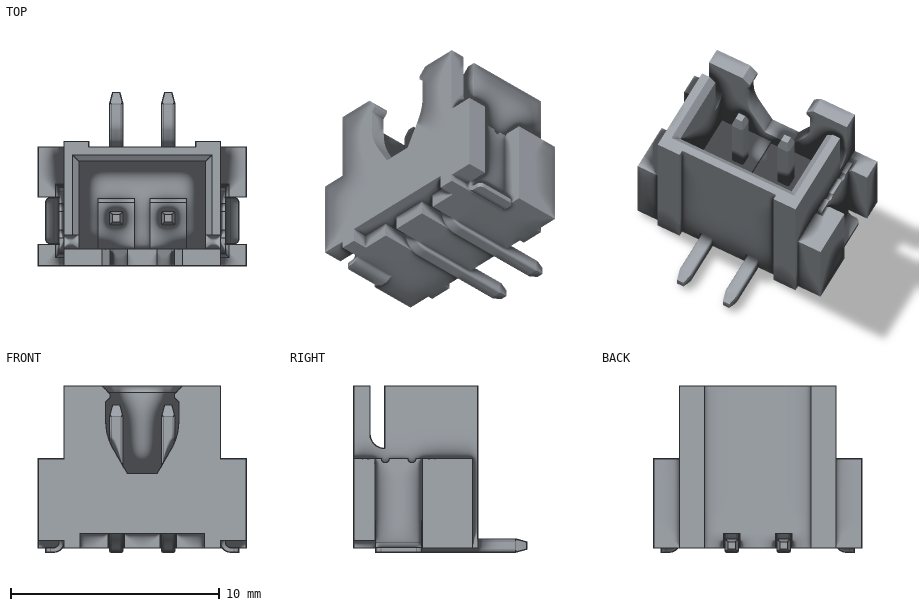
import cadquery as cq
import math


top_z = 8.0
standoff = 0.2

shell_half_width = 3.77
shell_back_y = 5.72
front_wall = 0.8
cavity_half_width = 3.05
cavity_back_y = 5.03
cavity_floor_z = 3.0
cavity_lead_in = 0.31
rear_rib_depth = 0.26
rear_rib_width = 1.2

shoulder_half_width = 5.0
shoulder_top_z = 4.5
corner_relief_top_z = 0.56

slit_width = 0.69
slit_bottom_z = 5.0

window_half_width = 1.76
window_lip_half_width = 1.55
window_mouth_half_width = 1.93
window_lip_height = 0.18
window_floor_z = 3.8
window_floor_half_width = 0.72
window_slope = math.radians(30)
window_arc_radius = 2.6

pad_width = 1.75
pad_back_y = 3.25
pad_height = 0.2

underside_half_width = 3.0
underside_top_z = 0.9
pin_slot_width = 0.75

pin_pitch = 2.5
pin_count = 2
pin_size = 0.65
pin_edge_radius = 0.1
pin_y = 2.29
pin_top_z = 7.08
pin_tail_y = 8.34
pin_taper = 0.56
pin_tip_size = 0.35
pin_bend_inner_radius = 0.3

tab_thickness = 0.23
tab_width = 3.2
tab_neck_width = 2.22
tab_neck_top_z = 1.5
tab_y = 2.17
tab_corner_radius = 0.2
tab_notch_radius = 0.19
tab_notch_spacing = 1.28
tab_foot_reach = 4.65
tab_bend_inner_radius = 0.25
tab_foot_corner_radius = 0.25
tab_side_gap = 0.03
tab_lead_in = 0.16
tab_lead_in_depth = 0.2

tab_face_x = shell_half_width + tab_thickness
pin_xs = [(i - (pin_count - 1) / 2) * pin_pitch for i in range(pin_count)]


def block(x_range, y_range, z_range):
    """Axis-aligned box between the given limits."""
    size = [high - low for low, high in (x_range, y_range, z_range)]
    corner = (x_range[0], y_range[0], z_range[0])
    return cq.Workplane("XY").box(*size, centered=False).translate(corner)


def both_sides(shape):
    """The shape together with its mirror image across X = 0."""
    return shape.union(shape.mirror("YZ"))


def tapered_bar(length):
    """Square bar along +Z from the origin with rounded edges and a tapered tip."""
    straight = length - pin_taper
    bar = (
        cq.Workplane("XY").rect(pin_size, pin_size).extrude(straight)
        .union(
            cq.Workplane("XY").workplane(offset=straight).rect(pin_size, pin_size)
            .workplane(offset=pin_taper).rect(pin_tip_size, pin_tip_size).loft()
        )
    )
    rounded_bar = (
        cq.Workplane("XY").rect(pin_size, pin_size).extrude(length)
        .edges("|Z").fillet(pin_edge_radius)
    )
    return bar.intersect(rounded_bar)


def make_pin(x):
    """L-shaped pin: upright contact leg, round bend and horizontal solder tail."""
    bend_radius = pin_bend_inner_radius + pin_size / 2
    tail_z = pin_size / 2
    bend_y = pin_y + bend_radius
    bend_z = tail_z + bend_radius
    upright = tapered_bar(pin_top_z - bend_z).translate((0, pin_y, bend_z))
    tail = (
        tapered_bar(pin_tail_y - bend_y)
        .rotate((0, 0, 0), (1, 0, 0), -90)
        .translate((0, bend_y, tail_z))
    )
    bend = (
        cq.Workplane("XY", origin=(0, pin_y, bend_z))
        .rect(pin_size, pin_size).extrude(-1).edges("|Z").fillet(pin_edge_radius)
        .faces(">Z").wires().toPending().workplane()
        .revolve(90, (-1, bend_radius, 0), (1, bend_radius, 0), combine=False)
    )
    return upright.union(bend).union(tail).translate((x, 0, 0))


def shell_and_shoulders():
    shell_x = (-shell_half_width, shell_half_width)
    shoulder_x = (-shoulder_half_width, shoulder_half_width)
    depth = (0, shell_back_y)
    body = block(shell_x, depth, (standoff, top_z))
    body = body.union(block(shoulder_x, depth, (standoff, shoulder_top_z)))
    rib_x = (shell_half_width - rear_rib_width, shell_half_width)
    rib = block(rib_x, (shell_back_y, shell_back_y + rear_rib_depth), (standoff, top_z))
    relief = block(
        (shell_half_width, shoulder_half_width),
        (0, tab_y - tab_neck_width / 2 - tab_side_gap),
        (standoff, corner_relief_top_z),
    )
    return body.union(both_sides(rib)).cut(both_sides(relief))


def cavity():
    """Mating cavity, flared at its mouth along the sides and the back."""
    depth = cavity_back_y - front_wall
    straight = block(
        (-cavity_half_width, cavity_half_width), (front_wall, cavity_back_y), (cavity_floor_z, top_z)
    )
    flare = (
        cq.Workplane("XY", origin=(0, front_wall + depth / 2, top_z - cavity_lead_in))
        .rect(2 * cavity_half_width, depth)
        .workplane(offset=cavity_lead_in)
        .center(0, cavity_lead_in / 2)
        .rect(2 * (cavity_half_width + cavity_lead_in), depth + cavity_lead_in)
        .loft()
    )
    return straight.union(flare)


def side_slits():
    """Slits down both side walls behind the front wall, with a round front corner at the bottom."""
    slit_back_y = front_wall + slit_width
    return (
        cq.Workplane("YZ", origin=(-shell_half_width, 0, 0))
        .moveTo(front_wall, top_z)
        .lineTo(front_wall, slit_bottom_z + slit_width)
        .radiusArc((slit_back_y, slit_bottom_z), -slit_width)
        .lineTo(slit_back_y, top_z)
        .close()
        .extrude(2 * shell_half_width)
    )


def keying_window():
    """Bottle-shaped opening through the front wall, lipped near its mouth."""
    mouth_z = top_z - (window_mouth_half_width - window_lip_half_width)
    lip_z = mouth_z - window_lip_height
    straight_top_z = lip_z - (window_half_width - window_lip_half_width)
    arc_end_x = window_half_width - window_arc_radius * (1 - math.cos(window_slope))
    arc_end_z = window_floor_z + (arc_end_x - window_floor_half_width) / math.tan(window_slope)
    arc_start_z = arc_end_z + window_arc_radius * math.sin(window_slope)
    half = (
        cq.Workplane("XZ")
        .moveTo(0, top_z)
        .lineTo(window_mouth_half_width, top_z)
        .lineTo(window_lip_half_width, mouth_z)
        .lineTo(window_lip_half_width, lip_z)
        .lineTo(window_half_width, straight_top_z)
        .lineTo(window_half_width, arc_start_z)
        .radiusArc((arc_end_x, arc_end_z), window_arc_radius)
        .lineTo(window_floor_half_width, window_floor_z)
        .lineTo(0, window_floor_z)
        .close()
        .extrude(-front_wall)
    )
    return both_sides(half)


def pin_pad(x):
    """Raised pad on the cavity floor with a sloped back edge."""
    pad_top_z = cavity_floor_z + pad_height
    return (
        cq.Workplane("YZ", origin=(x - pad_width / 2, 0, 0))
        .moveTo(front_wall, cavity_floor_z)
        .lineTo(pad_back_y, cavity_floor_z)
        .lineTo(pad_back_y - pad_height, pad_top_z)
        .lineTo(front_wall, pad_top_z)
        .close()
        .extrude(pad_width)
    )


def underside_recess():
    underside_x = (-underside_half_width, underside_half_width)
    return block(underside_x, (0, front_wall), (standoff, underside_top_z))


def pin_slot(x):
    """Channel under the housing that the bend and tail of a pin lie in."""
    slot_x = (x - pin_slot_width / 2, x + pin_slot_width / 2)
    return block(slot_x, (0, shell_back_y), (standoff, underside_top_z))


def tab_openings():
    """Space in the shoulder at +X that leaves the fixing tab exposed."""
    half_gap = tab_neck_width / 2 + tab_side_gap
    gap_y = (tab_y - half_gap, tab_y + half_gap)
    channel = block((tab_face_x, shoulder_half_width), gap_y, (standoff, shoulder_top_z))
    neck_room = block((shell_half_width, tab_face_x), gap_y, (standoff, tab_neck_top_z))
    mouth = (
        cq.Workplane("XY", origin=(shell_half_width, tab_y, shoulder_top_z - tab_lead_in_depth))
        .rect(2 * tab_thickness, tab_width)
        .workplane(offset=tab_lead_in_depth)
        .rect(2 * (tab_thickness + tab_lead_in), tab_width + 2 * tab_lead_in)
        .loft()
    )
    shell_side = block((0, shell_half_width), (0, shell_back_y), (standoff, top_z))
    return channel.union(neck_room).union(mouth.cut(shell_side))


def fixing_tab():
    """Sheet-metal tab at +X: notched plate, narrower neck, and a foot bent outwards."""
    plate = (
        block(
            (shell_half_width, tab_face_x),
            (tab_y - tab_width / 2, tab_y + tab_width / 2),
            (tab_neck_top_z, shoulder_top_z),
        )
        .edges("|X and >Z").fillet(tab_corner_radius)
    )
    notches = (
        cq.Workplane("YZ", origin=(shell_half_width, 0, 0))
        .pushPoints([(tab_y + side * tab_notch_spacing / 2, shoulder_top_z) for side in (-1, 1)])
        .circle(tab_notch_radius)
        .extrude(tab_thickness)
    )
    bend_outer_radius = tab_bend_inner_radius + tab_thickness
    bend_x = shell_half_width + bend_outer_radius
    neck_and_foot = (
        cq.Workplane("XZ", origin=(0, tab_y - tab_neck_width / 2, 0))
        .moveTo(shell_half_width, tab_neck_top_z)
        .lineTo(shell_half_width, bend_outer_radius)
        .radiusArc((bend_x, 0), -bend_outer_radius)
        .lineTo(tab_foot_reach, 0)
        .lineTo(tab_foot_reach, tab_thickness)
        .lineTo(bend_x, tab_thickness)
        .radiusArc((tab_face_x, bend_outer_radius), tab_bend_inner_radius)
        .lineTo(tab_face_x, tab_neck_top_z)
        .close()
        .extrude(-tab_neck_width)
        .edges("|Z and >X").fillet(tab_foot_corner_radius)
    )
    return plate.cut(notches).union(neck_and_foot)


def make_housing(pins):
    housing = shell_and_shoulders()
    housing = housing.cut(cavity()).cut(side_slits()).cut(keying_window()).cut(underside_recess())
    housing = housing.cut(both_sides(tab_openings())).union(both_sides(fixing_tab()))
    for x, pin in zip(pin_xs, pins):
        housing = housing.union(pin_pad(x)).cut(pin_slot(x)).cut(pin)
    return housing


pins = [make_pin(x) for x in pin_xs]
housing = make_housing(pins)

result = cq.Compound.makeCompound([housing.val(), *[pin.val() for pin in pins]])